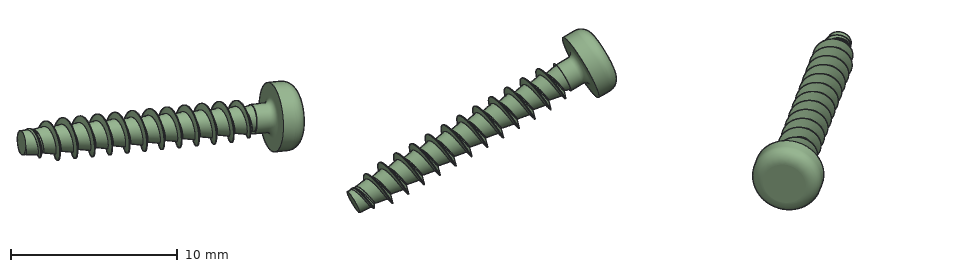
import cadquery as cq
import math

total_length = 17.6
head_diameter = 4.2
head_height = 1.58
crown_radius = 0.8
shank_radius = 0.9
neck_fillet = 0.39
shank_length = 1.23
tip_radius = 0.72
tip_z = head_height - total_length

thread_bottom = -15.72
thread_top = -shank_length
thread_turns = 13
pitch = (thread_top - thread_bottom) / thread_turns
tip_fade_turns = 1.5
shank_fade_turns = 1.0
full_turns = thread_turns - tip_fade_turns - shank_fade_turns
major_radius = 1.27
tip_crest_radius = 0.75
shank_crest_radius = 1.04
crest_width = 0.05
root_width = 0.39
buried_radius = 0.63

ramp_radius = 0.88
ramp_top = -0.12
ramp_end_radius = 0.74
ramp_bottom = -0.86
ramp_heel = 0.04
top_ramp_turns = 1.0


def helix_edge(radius_start, radius_end, z_start, turns):
    """Helix starting on +X, with its radius changing evenly along the climb."""
    height = turns * pitch
    base = cq.Vector(0, 0, z_start)
    if radius_start == radius_end:
        helix = cq.Wire.makeHelix(pitch, height, radius_start, base)
    else:
        cone_angle = math.atan2(radius_end - radius_start, height)
        slant_pitch = pitch / math.cos(cone_angle)
        slant_height = height / math.cos(cone_angle)
        helix = cq.Wire.makeHelix(
            slant_pitch, slant_height, radius_start, base, angle=math.degrees(cone_angle)
        )
    return helix.Edges()[0]


def helical_solid(start_section, end_section, z_start, turns, start_turn):
    """Solid whose (radius, height) section changes evenly along the climb."""
    edges = [
        helix_edge(start[0], end[0], z_start + start[1], turns)
        for start, end in zip(start_section, end_section)
    ]
    next_edges = edges[1:] + edges[:1]
    sides = [cq.Face.makeRuledSurface(a, b) for a, b in zip(edges, next_edges)]
    caps = []
    for position in (0, 1):
        corners = [edge.positionAt(position) for edge in edges]
        caps.append(cq.Face.makeFromWires(cq.Wire.makePolygon(corners, close=True)))
    solid = cq.Solid.makeSolid(cq.Shell.makeShell(sides + caps))
    return solid.rotate(cq.Vector(0, 0, 0), cq.Vector(0, 0, 1), 180 + 360 * start_turn)


def thread_section(crest_radius, swell_radius):
    """Tooth and core ramp as one outline, from the upper tooth root downwards."""
    return [
        (buried_radius, root_width / 2),
        (crest_radius, crest_width / 2),
        (crest_radius, -crest_width / 2),
        (swell_radius, ramp_top),
        (ramp_end_radius, ramp_bottom),
        (buried_radius, ramp_bottom - ramp_heel),
    ]


def make_body():
    """Head, filleted neck, shank and plain core as one turned profile."""
    head_radius = head_diameter / 2
    profile = (
        cq.Workplane("XZ")
        .moveTo(0, tip_z)
        .lineTo(tip_radius, tip_z)
        .lineTo(tip_radius, -shank_length)
        .lineTo(shank_radius, -shank_length)
        .lineTo(shank_radius, -neck_fillet)
        .radiusArc((shank_radius + neck_fillet, 0), neck_fillet)
        .lineTo(head_radius, 0)
        .lineTo(head_radius, head_height - crown_radius)
        .radiusArc((head_radius - crown_radius, head_height), -crown_radius)
        .lineTo(0, head_height)
        .close()
    )
    return profile.revolve(360, (0, 0, 0), (0, 1, 0))


def make_thread_pieces():
    """Tip fade, full-height run, shank fade and toothless ramp, from the tip up."""
    tip_section = thread_section(tip_crest_radius, ramp_end_radius)
    full_section = thread_section(major_radius, ramp_radius)
    shank_section = thread_section(shank_crest_radius, ramp_radius)
    ramp_section = thread_section(ramp_radius, ramp_radius)
    runs = [
        (tip_section, full_section, tip_fade_turns),
        (full_section, full_section, full_turns),
        (full_section, shank_section, shank_fade_turns),
        (ramp_section, ramp_section, top_ramp_turns),
    ]
    pieces = []
    turn = 0.0
    for start_section, end_section, turns in runs:
        z_start = thread_bottom + turn * pitch
        pieces.append(helical_solid(start_section, end_section, z_start, turns, turn))
        turn += turns
    return pieces


screw = make_body()
for piece in make_thread_pieces():
    screw = screw.union(cq.Workplane(obj=piece))

trim = cq.Workplane("XY", origin=(0, 0, tip_z)).circle(head_diameter).extrude(-2 * pitch)
screw = screw.cut(trim)

result = screw.rotate((0, 0, 0), (1, 0, 0), -90)